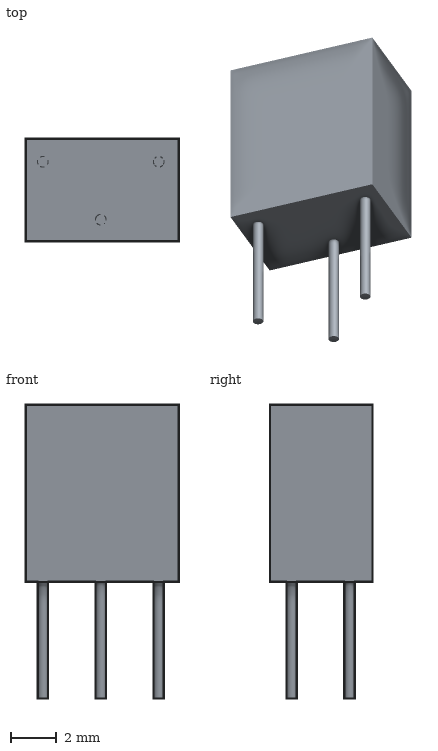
import cadquery as cq

total_height = 12.85
housing_width = 6.71
housing_depth = 4.5
housing_height = 7.75

pin_diameter = 0.46
pin_length = total_height - housing_height
pin_pitch = 2.53
middle_pin_x = -0.06
middle_pin_y = -1.3

pin_positions = [
    (middle_pin_x - pin_pitch, middle_pin_y + pin_pitch),
    (middle_pin_x, middle_pin_y),
    (middle_pin_x + pin_pitch, middle_pin_y + pin_pitch),
]


def make_housing():
    """Block whose underside lies at Z = 0."""
    return cq.Workplane("XY").box(
        housing_width, housing_depth, housing_height, centered=(True, True, False)
    )


def make_pin(x, y):
    """Straight pin hanging from the housing underside."""
    return cq.Workplane("XY").center(x, y).circle(pin_diameter / 2).extrude(-pin_length)


housing = make_housing()
pins = [make_pin(x, y) for x, y in pin_positions]

result = cq.Compound.makeCompound([housing.val(), *[pin.val() for pin in pins]])